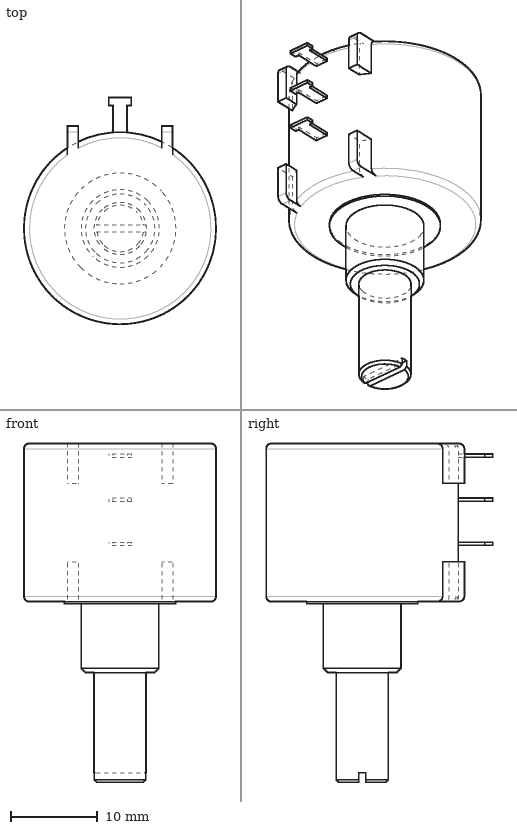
import cadquery as cq

total_height = 39.2
housing_height = 18.3
flange_thickness = 0.25
bushing_end_depth = 26.5
top_z = total_height / 2
housing_bottom_z = top_z - housing_height
flange_bottom_z = housing_bottom_z - flange_thickness
bushing_bottom_z = top_z - bushing_end_depth
shaft_bottom_z = top_z - total_height

housing_diameter = 22.23
housing_radius = housing_diameter / 2
housing_fillet = 0.63
flange_radius = 6.43
bushing_radius = 4.5
bushing_chamfer = 0.5
shaft_radius = 3.0
shaft_chamfer = 0.3

slot_width = 0.8
slot_depth = 1.1

lug_inner_x = 4.82
lug_outer_x = 6.08
lug_start_y = 5.88
lug_end_y = 11.85
lug_height = 4.63
lug_fillet = 0.7

overall_depth = 26.22
terminal_tip_y = overall_depth - housing_radius
terminal_embed_length = 1.55
terminal_start_y = housing_radius - terminal_embed_length
terminal_thickness = 0.4
terminal_neck_width = 1.65
terminal_head_width = 2.63
terminal_head_length = 0.95
first_terminal_depth = 1.4
terminal_pitch = 5.1
terminal_count = 3


def cylinder(radius, upper_z, lower_z):
    """Cylinder on the Z axis between two heights."""
    return cq.Workplane("XY", origin=(0, 0, lower_z)).circle(radius).extrude(upper_z - lower_z)


def box(x_range, y_range, z_range):
    """Axis-aligned box given by its limits along each axis."""
    size = [high - low for low, high in (x_range, y_range, z_range)]
    corner = (x_range[0], y_range[0], z_range[0])
    return cq.Workplane("XY").box(*size, centered=False).translate(corner)


def make_shaft():
    """Chamfered shaft with a screwdriver slot across its end."""
    shaft = cylinder(shaft_radius, housing_bottom_z, shaft_bottom_z).faces("<Z").chamfer(shaft_chamfer)
    slot = box(
        (-shaft_radius, shaft_radius),
        (-slot_width / 2, slot_width / 2),
        (shaft_bottom_z, shaft_bottom_z + slot_depth),
    )
    return shaft.cut(slot)


def make_lug(inner_x, outer_x, lower_z, outside_edge):
    """Lug with its free corner on the top or bottom of the housing rounded."""
    lug = box((inner_x, outer_x), (lug_start_y, lug_end_y), (lower_z, lower_z + lug_height))
    return lug.faces(">Y").edges(outside_edge).fillet(lug_fillet)


def make_terminal(center_z):
    """Flat strip with a wider head at its tip."""
    z_range = (center_z - terminal_thickness / 2, center_z + terminal_thickness / 2)
    half_neck = terminal_neck_width / 2
    half_head = terminal_head_width / 2
    neck = box((-half_neck, half_neck), (terminal_start_y, terminal_tip_y), z_range)
    head = box((-half_head, half_head), (terminal_tip_y - terminal_head_length, terminal_tip_y), z_range)
    return neck.union(head)


result = cylinder(housing_radius, top_z, housing_bottom_z).edges().fillet(housing_fillet)
result = result.union(cylinder(flange_radius, housing_bottom_z, flange_bottom_z))
bushing = cylinder(bushing_radius, housing_bottom_z, bushing_bottom_z)
result = result.union(bushing.faces("<Z").chamfer(bushing_chamfer))
result = result.union(make_shaft())

for lug_lower_z, rounded_edge in ((top_z - lug_height, ">Z"), (housing_bottom_z, "<Z")):
    for left_x, right_x in ((-lug_outer_x, -lug_inner_x), (lug_inner_x, lug_outer_x)):
        result = result.union(make_lug(left_x, right_x, lug_lower_z, rounded_edge))

for index in range(terminal_count):
    result = result.union(make_terminal(top_z - first_terminal_depth - index * terminal_pitch))